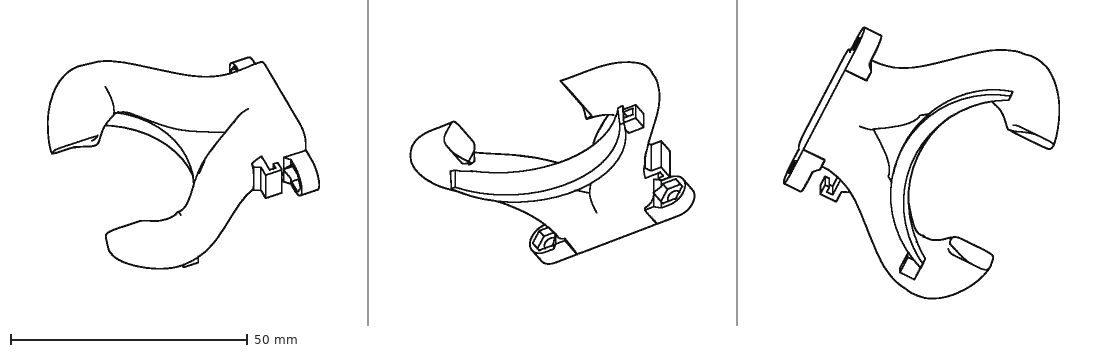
import cadquery as cq
import math

TOTAL_HEIGHT = 15.1

ARM_STATIONS = [
    ((11.9, 0), (-7.45, 0), TOTAL_HEIGHT, 2.1, 1.45),
    ((12.05, -6.3), (-3.45, -6.9), 14.55, 2.7, 1.45),
    ((14.55, -13.45), (1.45, -14.05), 13.85, 4, 1.7),
    ((18.7, -18.5), (6.0, -20.8), 13.45, 5.35, 2.0),
    ((24.05, -24.55), (12.85, -26.95), 13.1, 5.75, 2.3),
    ((27.2, -29.2), (16.15, -30.05), 12.9, 5.45, 2.85),
    ((28.3, -33.6), (16.4, -31.85), 12.55, 4.9, 4),
]
ARM_SHOULDER_DROP = 2.6
ARM_EDGE_SETBACK = 3.3
MAX_SETBACK_SHARE = 0.48

FINGER_STATIONS = [
    ((27.8, -39.25), (16.05, -33.6), 5.15, (5.0, 10.9, 11.75, 8.3, 3.45), 2.75, 0),
    ((24.25, -43.25), (14.9, -35.25), 6.9, (3.7, 8.8, 10.6, 7.35, 2.1), 2.4, 0),
    ((20.05, -45.55), (13.85, -36.4), 7.45, (2.3, 6.9, 8.6, 6.6, 1.45), 1.6, 0),
    ((12.85, -46.95), (12.85, -36.95), 8, (1.15, 5.6, 5.9, 5.9, 1.15), 2.05, 0.6),
]

EAR_RADIUS = 3.9
EAR_CENTRE_X = 15.1
EAR_CENTRE_Z = 6.0
EAR_THICKNESS = 4
EAR_GUSSET = 1.15
EAR_ROOT_X = 9.75
GUSSET_X = 12.0
SCREW_DIAMETER = 3.0
NUT_FLATS = 5.5
NUT_DEPTH = 2.0

COLLAR_END_Y = -33.6
COLLAR_OUTER_X = 21.05
COLLAR_INNER_X = 20.05
COLLAR_OUTER_RISE = 15.2
COLLAR_INNER_RISE = 12.0
COLLAR_INNER_TILT = 12
COLLAR_FRONT_MARGIN = 0.05
COLLAR_TILT = 5.5
WEB_BACK_Y = -8
WEB_HALF_WIDTH = 10.3
WEB_FRONT_Y = -23.2
WEB_FRONT_APEX_Y = -21.2
WEB_APEX_Z = 8.55
WEB_APEX_Y = -11.85
WEB_TOP_SLOPE = 0.16
WEB_THICKNESS = 2.3

HOOK_OUTLINE = [
    (10.3, -10.45), (16.55, -10.45), (16.55, -9.05), (15.35, -9.05), (15.35, -8),
    (17.6, -8), (17.6, -11.8), (15.15, -11.8), (14.55, -13.2), (12.6, -13.2),
]
HOOK_BOTTOM = 5.75
HOOK_TOP = 13.1

CLIP_X = (20.25, 23.95)
CLIP_Z = (0.2, 3.9)
CLIP_LENGTH = 3.45
CLIP_WALL = 0.7
CLIP_FLOOR = 1.3
CLIP_STOP_X = 22.0


def lerp(start, end, t):
    return tuple(a + (b - a) * t for a, b in zip(start, end))


def rounded_polygon(corners, setback):
    """Closed wire of straight edges joined by curves that start a setback away from each corner."""
    edges = []
    last_end = None
    first_start = None
    for index, corner in enumerate(corners):
        before = corners[index - 1] - corner
        after = corners[(index + 1) % len(corners)] - corner
        reach = min(setback, MAX_SETBACK_SHARE * before.Length, MAX_SETBACK_SHARE * after.Length)
        start = corner + before.normalized() * reach
        end = corner + after.normalized() * reach
        if last_end is None:
            first_start = start
        else:
            edges.append(cq.Edge.makeLine(last_end, start))
        edges.append(cq.Edge.makeBezier([start, corner, end]))
        last_end = end
    edges.append(cq.Edge.makeLine(last_end, first_start))
    return cq.Wire.assembleEdges(edges)


def section(outer, inner, shoulder, heights, setback, lean=0):
    """Rounded five-sided section on the vertical plane through two plan points."""
    ridge = lerp(inner, outer, shoulder / math.dist(outer, inner))
    plan = (outer, outer, ridge, inner, inner)
    corners = [cq.Vector(x + lean * (max(heights) - z), y, z) for (x, y), z in zip(plan, heights)]
    return rounded_polygon(corners, setback)


def arm_section(outer, inner, top, bottom, shoulder):
    heights = (bottom, top, top, top - ARM_SHOULDER_DROP, bottom)
    return section(outer, inner, shoulder, heights, ARM_EDGE_SETBACK)


def make_half_fork():
    """Right half of the body with its arm and finger, cut flat at the centre plane."""
    arm_wires = [arm_section(*station) for station in ARM_STATIONS]
    finger_wires = [arm_wires[-1]] + [section(*station) for station in FINGER_STATIONS]
    arm = cq.Workplane(cq.Solid.makeLoft(arm_wires))
    finger = cq.Workplane(cq.Solid.makeLoft(finger_wires))
    return arm.union(finger).intersect(box((0, 34.4), (-51.6, 5.75), (-5.75, 22.9)))


def make_ear():
    """Right ear and its gusset to the body."""
    back = cq.Workplane("XZ").center(EAR_CENTRE_X, EAR_CENTRE_Z)
    ear = back.circle(EAR_RADIUS).extrude(EAR_THICKNESS)
    ear_z = (EAR_CENTRE_Z - EAR_RADIUS, EAR_CENTRE_Z + EAR_RADIUS)
    ear = ear.union(box((EAR_ROOT_X, EAR_CENTRE_X), (-EAR_THICKNESS, 0), ear_z))
    gusset_y = -EAR_THICKNESS - EAR_GUSSET
    gusset = (
        cq.Workplane("XY", origin=(0, 0, ear_z[0]))
        .moveTo(EAR_ROOT_X, -EAR_THICKNESS)
        .lineTo(GUSSET_X + EAR_GUSSET, -EAR_THICKNESS)
        .lineTo(GUSSET_X, gusset_y)
        .lineTo(EAR_ROOT_X, gusset_y)
        .close()
        .extrude(2 * EAR_RADIUS)
    )
    return ear.union(gusset)


def make_ear_cut():
    """Screw hole and nut pocket of the right ear."""
    back = cq.Workplane("XZ").center(EAR_CENTRE_X, EAR_CENTRE_Z)
    hole = back.circle(SCREW_DIAMETER / 2).extrude(EAR_THICKNESS)
    nut_corners = NUT_FLATS / math.cos(math.radians(30))
    pocket_floor = back.workplane(offset=EAR_THICKNESS - NUT_DEPTH)
    nut = pocket_floor.polygon(6, nut_corners).extrude(NUT_DEPTH + EAR_GUSSET)
    return hole.union(nut)


def web_top(y):
    return WEB_APEX_Z + WEB_TOP_SLOPE * (y - WEB_APEX_Y)


def side_prism(points):
    """Prism with a (y, z) outline, running across the whole part."""
    return cq.Workplane("YZ").polyline(points).close().extrude(COLLAR_OUTER_X, both=True)


def collar_prism(half_width, rise, tilt, reach, bottom):
    """Tilted prism bounded at the back by an arc and reaching forward past the collar ends."""
    return (
        cq.Workplane("XY", origin=(0, 0, bottom))
        .moveTo(-half_width, 0)
        .threePointArc((0, rise), (half_width, 0))
        .line(0, -reach)
        .line(-2 * half_width, 0)
        .close()
        .extrude(TOTAL_HEIGHT)
        .rotate((0, 0, 0), (1, 0, 0), tilt)
        .translate((0, COLLAR_END_Y, 0))
    )


def make_collar():
    """Crescent wall under the fork, with sloping top, bottom and inner face."""
    outside = collar_prism(COLLAR_OUTER_X, COLLAR_OUTER_RISE, COLLAR_TILT, COLLAR_FRONT_MARGIN, 0)
    inside = collar_prism(
        COLLAR_INNER_X, COLLAR_INNER_RISE, COLLAR_INNER_TILT, COLLAR_INNER_RISE, -TOTAL_HEIGHT / 2
    )
    front_y = COLLAR_END_Y - COLLAR_OUTER_RISE
    below_web_top = side_prism([
        (WEB_BACK_Y, 0),
        (WEB_BACK_Y, web_top(WEB_BACK_Y)),
        (front_y, web_top(front_y)),
        (front_y, 0),
    ])
    return outside.intersect(below_web_top).cut(inside)


def make_web():
    """Plate that closes the fork between the arms and the collar."""
    outline = (
        cq.Workplane("XY")
        .moveTo(-WEB_HALF_WIDTH, WEB_FRONT_Y)
        .lineTo(0, WEB_BACK_Y)
        .lineTo(WEB_HALF_WIDTH, WEB_FRONT_Y)
        .threePointArc((0, WEB_FRONT_APEX_Y), (-WEB_HALF_WIDTH, WEB_FRONT_Y))
        .close()
        .extrude(TOTAL_HEIGHT)
    )
    top = [(y, web_top(y)) for y in (WEB_BACK_Y, WEB_FRONT_Y)]
    bottom = [(y, z - WEB_THICKNESS) for y, z in reversed(top)]
    return outline.intersect(side_prism(top + bottom))


def make_hook():
    """Upright C-shaped hook that opens towards the body."""
    base = cq.Workplane("XY", origin=(0, 0, HOOK_BOTTOM))
    return base.polyline(HOOK_OUTLINE).close().extrude(HOOK_TOP - HOOK_BOTTOM)


def make_clip():
    """Square channel on the right end of the collar, partly closed at its far end."""
    clip_y = (COLLAR_END_Y, COLLAR_END_Y + CLIP_LENGTH)
    bore_x = (CLIP_X[0] + CLIP_WALL, CLIP_X[1] - CLIP_WALL)
    bore_z = (CLIP_Z[0] + CLIP_FLOOR, CLIP_Z[1] - CLIP_WALL)
    clip = box(CLIP_X, clip_y, CLIP_Z).cut(box(bore_x, clip_y, bore_z))
    stop_y = (clip_y[1] - CLIP_WALL, clip_y[1])
    return clip.union(box((CLIP_STOP_X, CLIP_X[1]), stop_y, CLIP_Z))


def box(x, y, z):
    """Block between the given (low, high) limits on each axis."""
    size = (x[1] - x[0], y[1] - y[0], z[1] - z[0])
    return cq.Workplane("XY").box(*size, centered=False).translate((x[0], y[0], z[0]))


half = make_half_fork().union(make_ear()).cut(make_ear_cut())
result = half.union(half.mirror("YZ"))
for feature in (make_web(), make_collar(), make_hook(), make_clip()):
    result = result.union(feature)